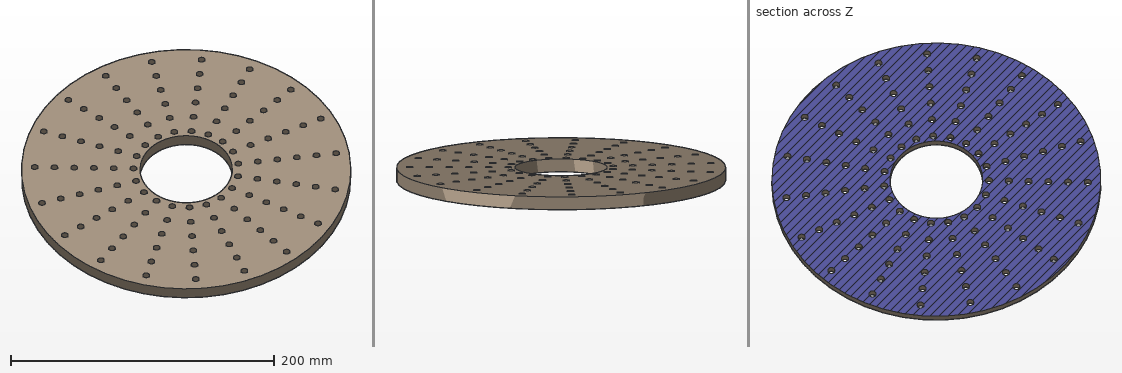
import cadquery as cq

disc_diameter = 250.0
disc_thickness = 10.0
bore_diameter = 70.0

hole_diameter = 5.0
row_count = 19
first_row_angle = 90.0
full_turn = 360.0
holes_per_row = 6
inner_hole_radius = 40.0
hole_spacing = 15.0


def make_disc():
    """Flat ring with its bottom face on the XY plane."""
    return (
        cq.Workplane("XY")
        .circle(disc_diameter / 2)
        .circle(bore_diameter / 2)
        .extrude(disc_thickness)
    )


def drill_hole_rows(disc):
    """Drill concentric rings of through holes that line up in radial rows."""
    for ring in range(holes_per_row):
        ring_radius = inner_hole_radius + ring * hole_spacing
        disc = (
            disc.faces(">Z")
            .workplane(origin=(0, 0, disc_thickness))
            .polarArray(ring_radius, first_row_angle, full_turn, row_count)
            .hole(hole_diameter)
        )
    return disc


result = drill_hole_rows(make_disc())